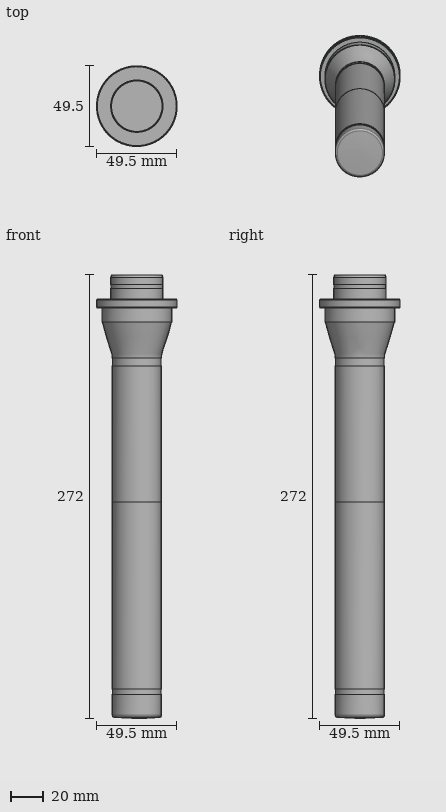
import cadquery as cq

flange_diameter = 49.5
collar_diameter = 43.0
cap_diameter = 32.0
cap_groove_diameter = 31.8
tube_diameter = 30.2
tube_groove_diameter = 30.0
bell_top_diameter = 42.5
bell_middle_diameter = 37.3
bell_foot_diameter = 31.0

total_height = 272.0
cap_groove_top = 266.0
cap_groove_bottom = 263.5
flange_top = 257.0
flange_bottom = 251.5
collar_bottom = 243.2
bell_middle = 233.6
bell_foot = 224.0
neck_groove_top = 221.0
neck_groove_bottom = 216.2
joint_height = 132.7
tail_groove_top = 18.0
tail_groove_bottom = 14.7
tail_dome_height = 0.8

bell_end_run = 0.2

cap_chamfer_height = 1.5
cap_chamfer_width = 0.5
flange_chamfer = 0.5
tail_fillet = 1.4


def cylinder(diameter, bottom, top):
    """Solid cylinder on the Z axis between two heights."""
    return cq.Workplane("XY").workplane(offset=bottom).circle(diameter / 2).extrude(top - bottom)


def cut_groove(body, outer_diameter, groove_diameter, bottom, top):
    """Cut a shallow ring groove around a cylindrical stretch of a body."""
    ring = cylinder(outer_diameter, bottom, top).cut(cylinder(groove_diameter, bottom, top))
    return body.cut(ring)


def revolve_about_z(profile):
    """Turn a closed half profile, drawn in the XZ plane, around the Z axis."""
    return profile.revolve(360, (0, 0, 0), (0, 1, 0))


def make_neck_and_bell():
    """Upper tube running smoothly into a flare that rises to the collar."""
    flare_points = [
        (bell_foot_diameter / 2, bell_foot),
        (bell_middle_diameter / 2, bell_middle),
        (bell_top_diameter / 2, collar_bottom),
    ]
    start_upright = (0, 1)
    end_slope = (bell_end_run, 1)
    profile = (
        cq.Workplane("XZ")
        .moveTo(0, joint_height)
        .lineTo(tube_diameter / 2, joint_height)
        .lineTo(tube_diameter / 2, neck_groove_top)
        .spline(flare_points, tangents=[start_upright, end_slope], includeCurrent=True)
        .lineTo(0, collar_bottom)
        .close()
    )
    neck = revolve_about_z(profile)
    return cut_groove(neck, tube_diameter, tube_groove_diameter, neck_groove_bottom, neck_groove_top)


def make_cap():
    """Stub above the flange with a steep top chamfer and a shallow groove."""
    top_radius = cap_diameter / 2 - cap_chamfer_width
    profile = (
        cq.Workplane("XZ")
        .moveTo(0, flange_top)
        .lineTo(cap_diameter / 2, flange_top)
        .lineTo(cap_diameter / 2, total_height - cap_chamfer_height)
        .lineTo(top_radius, total_height)
        .lineTo(0, total_height)
        .close()
    )
    return cut_groove(
        revolve_about_z(profile), cap_diameter, cap_groove_diameter, cap_groove_bottom, cap_groove_top
    )


def make_head():
    """Upper body: tube, flared bell, collar, flange and cap."""
    collar = cylinder(collar_diameter, collar_bottom, flange_bottom)
    flange = cylinder(flange_diameter, flange_bottom, flange_top).edges().chamfer(flange_chamfer)
    cap = make_cap()
    return make_neck_and_bell().union(collar).union(flange).union(cap)


def make_handle():
    """Lower body: plain tube with a groove and a domed, rounded lower end."""
    tube_radius = tube_diameter / 2
    dome_radius = (tube_radius**2 + tail_dome_height**2) / (2 * tail_dome_height)
    profile = (
        cq.Workplane("XZ")
        .moveTo(0, 0)
        .radiusArc((tube_radius, tail_dome_height), -dome_radius)
        .lineTo(tube_radius, joint_height)
        .lineTo(0, joint_height)
        .close()
    )
    lower_rim = cq.NearestToPointSelector((0, 0, tail_dome_height))
    tube = revolve_about_z(profile).edges("%CIRCLE").edges(lower_rim).fillet(tail_fillet)
    return cut_groove(tube, tube_diameter, tube_groove_diameter, tail_groove_bottom, tail_groove_top)


head = make_head()
handle = make_handle()
result = cq.Compound.makeCompound([head.val(), handle.val()])